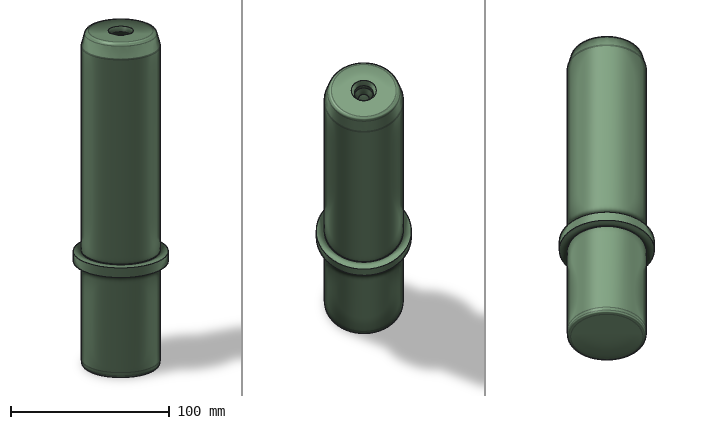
import cadquery as cq
import math

total_length = 225.0
shank_radius = 25.0

collar_radius = 30.0
collar_bottom = 70.0
collar_height = 6.5
collar_top = collar_bottom + collar_height

undercut_depth = 0.6
undercut_height = 1.0
relief_depth = 0.5
relief_height = 0.5

nose_length = 10.0
nose_angle = math.radians(15)
nose_base = total_length - nose_length
nose_radius = shank_radius - nose_length * math.tan(nose_angle)
nose_blend = 2.5
nose_fillet = 2.5

lead_length = 4.0
lead_inset = 0.4
lead_fillet = 2.0

hole_mouth_radius = 7.9
hole_step_radius = 6.0
hole_floor_radius = 3.3
mouth_depth = 3.0
step_depth = 5.5
floor_depth = 8.5

match_tolerance = 1e-6


def revolve_profile(points):
    """Solid of revolution about Z from (radius, height) points."""
    return cq.Workplane("XZ").polyline(points).close().revolve(360, (0, 0), (0, 1))


def round_edge(body, edge_radius, height, fillet_radius):
    """Fillet the circular edge with the given radius and height."""
    matching_edges = [
        edge
        for edge in body.edges("%CIRCLE").vals()
        if math.isclose(edge.radius(), edge_radius, abs_tol=match_tolerance)
        and math.isclose(edge.Center().z, height, abs_tol=match_tolerance)
    ]
    return body.newObject(matching_edges).fillet(fillet_radius)


def make_pin():
    """Lower shank, collar and guide shank with a tapered nose."""
    pin = revolve_profile([
        (0, 0),
        (shank_radius - lead_inset, 0),
        (shank_radius, lead_length),
        (shank_radius, collar_bottom - undercut_height),
        (shank_radius - undercut_depth, collar_bottom),
        (collar_radius, collar_bottom),
        (collar_radius, collar_top),
        (shank_radius - relief_depth, collar_top),
        (shank_radius - relief_depth, collar_top + relief_height),
        (shank_radius, collar_top + relief_height),
        (shank_radius, nose_base),
        (nose_radius, total_length),
        (0, total_length),
    ])
    pin = round_edge(pin, shank_radius - lead_inset, 0, lead_fillet)
    pin = round_edge(pin, shank_radius, nose_base, nose_blend)
    return round_edge(pin, nose_radius, total_length, nose_fillet)


def make_center_hole():
    """Conical mouth, straight step and a second cone to a flat floor."""
    return revolve_profile([
        (0, total_length),
        (hole_mouth_radius, total_length),
        (hole_step_radius, total_length - mouth_depth),
        (hole_step_radius, total_length - step_depth),
        (hole_floor_radius, total_length - floor_depth),
        (0, total_length - floor_depth),
    ])


result = make_pin().cut(make_center_hole())